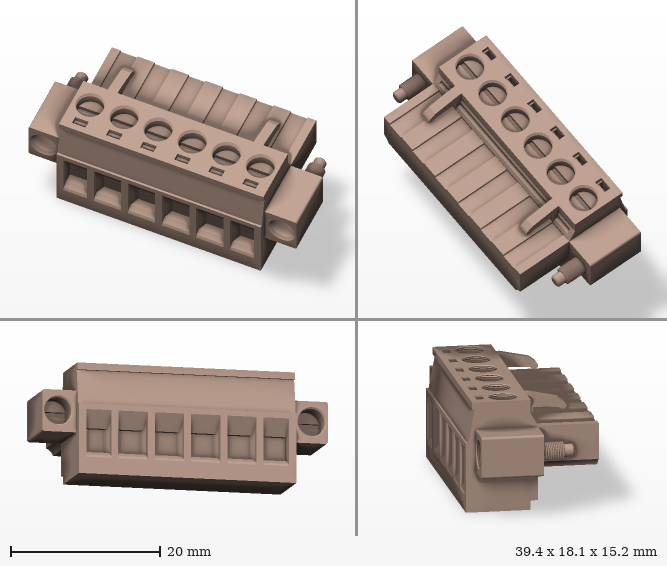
import cadquery as cq
import math

overall_width = 39.4
overall_depth = 18.1
overall_height = 15.2

contact_count = 6
pitch = 5.0
body_width = contact_count * pitch
contact_places = [(i - (contact_count - 1) / 2) * pitch for i in range(contact_count)]

body_back = 9.8
shoulder_z = 9.55
shoulder_depth = 0.3
slope_top_y = 1.22
lip_y = 0.83
lip_height = 0.95
back_top_y = 8.83
bevel_bottom_z = 11.65
bevel_top_z = 13.3
foot_height = 1.3
foot_chamfer = 0.1
ledge_half_width = 14.2
ledge_z = 12.2
ledge_front_y = 9.02

plug_bottom = 5.65
plug_top = 11.6
cove_size = 1.0
cove_sag = 0.15
groove_width = pitch / 2
groove_depth = 0.3
groove_taper = 0.08

latch_width = 1.4
latch_offset = 10.7
latch_tip_y = 14.3
latch_hook_z = 12.85
latch_underside_z = 13.25
latch_outline = [
    (back_top_y, overall_height),
    (9.35, overall_height),
    (13.25, 14.4),
    (14.05, 13.8),
    (latch_tip_y, 13.45),
    (latch_tip_y, 13.12),
    (14.05, latch_hook_z),
    (13.67, latch_hook_z),
    (13.2, 13.12),
    (11.45, latch_underside_z),
    (body_back, latch_underside_z),
    (body_back, bevel_bottom_z),
    (back_top_y, bevel_bottom_z),
]

entry_half_width = 2.0
throat_half_width = 1.75
clamp_half_width = 1.45
entry_straight_depth = 0.85
throat_y = 1.5
entry_depth = 2.15
end_wall = 1.02
mouth_floor_z = 2.25
mouth_ceiling_z = 8.75
sill_y = 0.2
sill_z = 2.6
lintel_y = 0.8
lintel_z = 7.5
clamp_floor_z = 3.07
clamp_floor_y = 0.9
clamp_ceiling_z = 6.42
clamp_ceiling_y = 1.4

screw_y = 5.48
hole_radius = 2.0
bore_radius = 1.9
rim_groove_count = 3
rim_groove_pitch = 0.25
hole_depth = 1.58
head_rim = 0.15
slot_width = 0.7
slot_depth = 0.6

test_width = 1.97
test_front_y = 1.75
test_back_y = 2.8
test_depth = 0.67
ramp_width = 1.5
ramp_back_y = 2.4
ramp_foot_y = 1.8
ramp_depth = 2.35

flange_front = 1.3
flange_bottom = 5.75
flange_top = 11.45
flange_fillet = 0.3
fixing_x = 17.5
fixing_z = 8.65
fixing_hole_depth = 3.55
thread_radius = 1.25
thread_root_radius = 1.05
thread_turns = 13
thread_end = 12.85
tip_radius = 0.85
tip_end = 14.2
tip_chamfer = 0.2


def box(x0, x1, y0, y1, z0, z1):
    """Box between two opposite corners."""
    return cq.Workplane("XY").box(x1 - x0, y1 - y0, z1 - z0, centered=False).translate((x0, y0, z0))


def side_prism(outline, width):
    """Closed Y-Z outline extruded along X, centred on X = 0."""
    return cq.Workplane("YZ").polyline(outline).close().extrude(width / 2, both=True)


def make_body():
    outline = [
        (0, 0),
        (0, shoulder_z),
        (shoulder_depth, shoulder_z),
        (slope_top_y, overall_height - lip_height),
        (lip_y, overall_height - lip_height),
        (lip_y, overall_height),
        (back_top_y, overall_height),
        (back_top_y, bevel_top_z),
        (body_back, bevel_bottom_z),
        (body_back, foot_height),
        (back_top_y, foot_height),
        (back_top_y, foot_chamfer),
        (back_top_y - foot_chamfer, 0),
    ]
    ledge = box(-ledge_half_width, ledge_half_width, ledge_front_y, body_back, ledge_z, overall_height)
    return side_prism(outline, body_width).cut(ledge)


def make_plug():
    half = body_width / 2
    plug = box(-half, half, body_back, overall_depth, plug_bottom, plug_top)
    for side in (-1, 1):
        middle = cove_size / 2 + cove_sag * math.sqrt(0.5)
        cove = (
            cq.Workplane("XZ")
            .moveTo(side * half, plug_bottom)
            .lineTo(side * half, plug_bottom + cove_size)
            .threePointArc(
                (side * (half - middle), plug_bottom + middle),
                (side * (half - cove_size), plug_bottom),
            )
            .close()
            .extrude(-overall_depth)
        )
        plug = plug.cut(cove)
    groove = (
        cq.Workplane("XZ")
        .moveTo(-groove_width / 2, plug_top)
        .lineTo(-groove_width / 2 + groove_taper, plug_top - groove_depth)
        .lineTo(groove_width / 2 - groove_taper, plug_top - groove_depth)
        .lineTo(groove_width / 2, plug_top)
        .close()
        .extrude(-overall_depth)
    )
    for x in contact_places:
        plug = plug.cut(groove.translate((x, 0, 0)))
    return plug


def make_wire_entry(x):
    """Funnel that narrows in both height and width toward the clamp."""
    height_outline = [
        (0, mouth_floor_z),
        (sill_y, sill_z),
        (clamp_floor_y, clamp_floor_z),
        (entry_depth, clamp_floor_z),
        (entry_depth, clamp_ceiling_z),
        (clamp_ceiling_y, clamp_ceiling_z),
        (lintel_y, lintel_z),
        (0, mouth_ceiling_z),
    ]
    half_plan = [
        (entry_half_width, 0),
        (entry_half_width, entry_straight_depth),
        (throat_half_width, throat_y),
        (clamp_half_width, entry_depth),
    ]
    plan = half_plan + [(-px, py) for px, py in reversed(half_plan)]
    funnel = cq.Workplane("XY").polyline(plan).close().extrude(overall_height)
    funnel = funnel.intersect(side_prism(height_outline, 2 * entry_half_width)).translate((x, 0, 0))
    reach = body_width / 2 - end_wall
    return funnel.intersect(box(-reach, reach, 0, entry_depth, 0, overall_height))


def make_screw_recess(depth):
    """Hole along -Z from the origin with a grooved rim, down to a slotted screw head."""
    profile = [(0, 0)]
    for i in range(rim_groove_count):
        groove_top = -i * rim_groove_pitch
        profile += [(hole_radius, groove_top), (bore_radius, groove_top - rim_groove_pitch / 2)]
    slot_floor = -depth - slot_depth
    profile += [(bore_radius, slot_floor), (0, slot_floor)]
    bore = cq.Workplane("XZ").polyline(profile).close().revolve(360, (0, 0), (0, 1))

    base_radius = 2 * bore_radius
    base_height = slot_depth - head_rim
    head = cq.Workplane("XY").workplane(offset=slot_floor).circle(base_radius).extrude(base_height)
    crown = cq.Workplane("XY").workplane(offset=slot_floor).circle(bore_radius - head_rim).extrude(slot_depth)
    slot = box(-base_radius, base_radius, -slot_width / 2, slot_width / 2, slot_floor, 0)
    return bore.cut(head.union(crown).cut(slot))


def make_test_opening(x):
    floor_z = overall_height - test_depth
    opening = box(-test_width / 2, test_width / 2, test_front_y, test_back_y, floor_z, overall_height)
    ramp = side_prism(
        [
            (test_front_y, floor_z),
            (ramp_back_y, floor_z),
            (ramp_foot_y, floor_z - ramp_depth),
            (test_front_y, floor_z - ramp_depth),
        ],
        ramp_width,
    )
    return opening.union(ramp).translate((x, 0, 0))


def make_flange(side):
    inner = side * body_width / 2
    outer = side * overall_width / 2
    flange = box(min(inner, outer), max(inner, outer), flange_front, body_back, flange_bottom, flange_top)
    flange = flange.edges("|Y").edges("<X" if side < 0 else ">X").fillet(flange_fillet)
    recess = make_screw_recess(fixing_hole_depth).rotate((0, 0, 0), (1, 0, 0), 90)
    return flange.cut(recess.translate((side * fixing_x, flange_front, fixing_z)))


def make_fixing_screw(side):
    """Threaded shank with a plain tip, behind the flange."""
    thread_pitch = (thread_end - body_back) / thread_turns
    profile = [(0, body_back - thread_pitch), (thread_root_radius, body_back - thread_pitch)]
    for turn in range(thread_turns):
        start = body_back + turn * thread_pitch
        profile += [(thread_root_radius, start), (thread_radius, start + thread_pitch / 2)]
    profile += [
        (thread_root_radius, thread_end),
        (tip_radius, thread_end),
        (tip_radius, tip_end - tip_chamfer),
        (tip_radius - tip_chamfer, tip_end),
        (0, tip_end),
    ]
    screw = cq.Workplane("XY").polyline(profile).close().revolve(360, (0, 0), (0, 1))
    return screw.translate((side * fixing_x, 0, fixing_z))


result = make_body().union(make_plug())

for side in (-1, 1):
    latch = side_prism(latch_outline, latch_width).translate((side * latch_offset, 0, 0))
    result = result.union(latch).union(make_flange(side)).union(make_fixing_screw(side))

for x in contact_places:
    result = result.cut(make_wire_entry(x))
    result = result.cut(make_screw_recess(hole_depth).translate((x, screw_y, overall_height)))
    result = result.cut(make_test_opening(x))